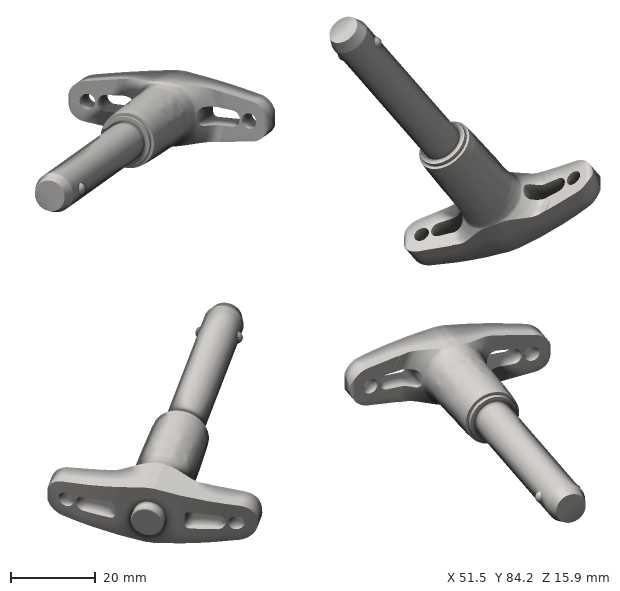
import cadquery as cq
import math

overall_length = 84.2
button_height = 2.9
button_radius = 3.95
button_chamfer = 0.25
tip_y = button_height - overall_length

handle_half_length = 51.45 / 2
handle_half_width = 15.9 / 2
middle_flat_half = 1.2
end_radius = 5.05
end_center_x = handle_half_length - end_radius
crown_flat_half = 7.6
crown_mid = (17.1, -1.0)
crown_end = (25.35, -2.9)
end_face_low_y = -7.15
end_round_mid = (25.35, -7.7)
underside_end = (24.2, -8.0)

eyelet_radius = 3.8 / 2
slot_inner_x = 8.3
slot_outer_x = 18.2
slot_inner_half_width = 2.4
slot_outer_radius = 2.0
slot_corner = 1.35

flare_outer_radius = 14.3
flare_seat_y = -3.45
flare_shoulder = (12.2, -6.8)
flare_throat = (8.4, -9.7)
flare_end = (7.5, -12.3)
hub_top = (7.3, -13.7)
hub_middle = (7.2, -20.2)
hub_bottom = (7.0, -30.8)
hub_end = (6.8, -33.1)
collar_radius = 6.1
collar_end_y = -34.1
shank_radius = 4.8
tip_radius = 3.8
tip_taper_length = 2.8

ball_radius = 1.5
ball_center_x = 4.2
ball_from_tip = 7.9


def mirror_x(point):
    return (-point[0], point[1])


def handle_prism():
    """Tapered round-ended plan of the handle, extended along the pin axis."""
    run = end_center_x - middle_flat_half
    distance = math.hypot(run, handle_half_width)
    tangent_angle = math.atan2(handle_half_width, -run) - math.acos(end_radius / distance)
    tangent_x = end_center_x + end_radius * math.cos(tangent_angle)
    tangent_z = end_radius * math.sin(tangent_angle)
    return (
        cq.Workplane("XZ")
        .moveTo(-middle_flat_half, handle_half_width)
        .lineTo(middle_flat_half, handle_half_width)
        .lineTo(tangent_x, tangent_z)
        .threePointArc((handle_half_length, 0), (tangent_x, -tangent_z))
        .lineTo(middle_flat_half, -handle_half_width)
        .lineTo(-middle_flat_half, -handle_half_width)
        .lineTo(-tangent_x, -tangent_z)
        .threePointArc((-handle_half_length, 0), (-tangent_x, tangent_z))
        .close()
        .extrude(-hub_top[1])
    )


def bowed_bar():
    """Side profile of the handle, with a bowed crown and rounded lower ends."""
    end_low = (handle_half_length, end_face_low_y)
    return (
        cq.Workplane("XY")
        .moveTo(-crown_flat_half, 0)
        .lineTo(crown_flat_half, 0)
        .threePointArc(crown_mid, crown_end)
        .lineTo(*end_low)
        .threePointArc(end_round_mid, underside_end)
        .lineTo(*flare_shoulder)
        .lineTo(*mirror_x(flare_shoulder))
        .lineTo(*mirror_x(underside_end))
        .threePointArc(mirror_x(end_round_mid), mirror_x(end_low))
        .lineTo(*mirror_x(crown_end))
        .threePointArc(mirror_x(crown_mid), (-crown_flat_half, 0))
        .close()
        .extrude(handle_half_width, both=True)
    )


def flare_seat():
    """Round recess in the bar that the flare fills."""
    return (
        cq.Workplane("XZ", origin=(0, flare_seat_y, 0))
        .circle(flare_outer_radius)
        .extrude(-hub_top[1])
    )


def flare():
    """Trumpet-shaped transition from the handle underside to the hub."""
    run = flare_shoulder[0] - underside_end[0]
    rise = flare_shoulder[1] - underside_end[1]
    rim_y = underside_end[1] + rise / run * (flare_outer_radius - underside_end[0])
    flare_end_direction = (hub_top[0] - flare_end[0], hub_top[1] - flare_end[1])
    return (
        cq.Workplane("XY")
        .lineTo(flare_outer_radius, flare_seat_y)
        .lineTo(flare_outer_radius, rim_y)
        .spline(
            [flare_shoulder, flare_throat, flare_end],
            tangents=[(run, rise), flare_end_direction],
            includeCurrent=True,
        )
        .lineTo(0, flare_end[1])
        .close()
        .revolve(360, (0, 0, 0), (0, 1, 0))
    )


def wing_openings(side):
    """Eyelet and tapered slot through one wing; side is +1 or -1 along X."""
    depth = -hub_top[1]
    eyelet = cq.Workplane("XZ").center(side * end_center_x, 0).circle(eyelet_radius).extrude(depth)
    outer_center_x = slot_outer_x - slot_outer_radius
    slot = (
        cq.Workplane("XZ")
        .moveTo(side * slot_inner_x, slot_inner_half_width)
        .lineTo(side * outer_center_x, slot_outer_radius)
        .threePointArc((side * slot_outer_x, 0), (side * outer_center_x, -slot_outer_radius))
        .lineTo(side * slot_inner_x, -slot_inner_half_width)
        .close()
        .extrude(depth)
    )
    inner_face = "<X" if side > 0 else ">X"
    return eyelet.union(slot.faces(inner_face).edges("|Y").fillet(slot_corner))


def turned_body():
    """Hub, collar and shank in one revolved profile running up to the handle crown."""
    return (
        cq.Workplane("XY")
        .lineTo(button_radius, 0)
        .lineTo(button_radius, flare_end[1])
        .lineTo(*flare_end)
        .lineTo(*hub_top)
        .threePointArc(hub_middle, hub_bottom)
        .lineTo(*hub_end)
        .lineTo(collar_radius, hub_end[1])
        .lineTo(collar_radius, collar_end_y)
        .lineTo(shank_radius, collar_end_y)
        .lineTo(shank_radius, tip_y + tip_taper_length)
        .lineTo(tip_radius, tip_y)
        .lineTo(0, tip_y)
        .close()
        .revolve(360, (0, 0, 0), (0, 1, 0))
    )


def release_button():
    blank = cq.Workplane("XZ").circle(button_radius).extrude(-button_height)
    return blank.faces(">Y").chamfer(button_chamfer)


def locking_ball(side):
    center = (side * ball_center_x, tip_y + ball_from_tip, 0)
    return cq.Workplane("XY").sphere(ball_radius).translate(center)


result = bowed_bar().cut(flare_seat()).union(flare()).intersect(handle_prism())
for side in (1, -1):
    result = result.cut(wing_openings(side))
result = result.union(turned_body()).union(release_button())
for side in (1, -1):
    result = result.union(locking_ball(side))